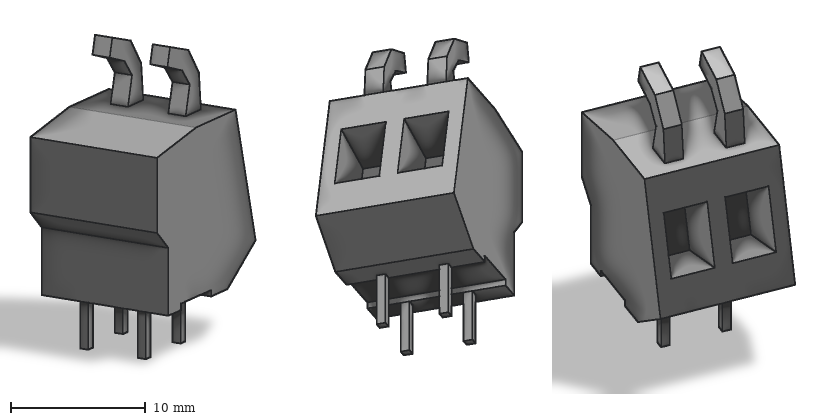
import cadquery as cq
import math


width = 11.0
depth = 14.2
height = 13.57
ridge_y = 5.64
front_top_z = 12.59
overhang_z = 6.79
step_y = 1.62
step_z = 5.24
rear_top_y = 11.32
rear_corner_z = 2.8
rear_foot_y = 10.15

pitch = 5.0
pole_xs = [-pitch / 2, pitch / 2]
pin_size = 0.7
pin_length = 4.02
front_pin_y = 3.12
pin_ys = [front_pin_y, front_pin_y + pitch]
channel_height = 0.5

entry_width = 3.55
entry_low_y = 13.45
entry_high_y = 12.1
entry_depth = 4.7

lever_width = 1.5
lever_outline = [
    (10.05, 0),
    (9.77, 2.89),
    (8.25, 5.02),
    (5.59, 5.9),
    (5.21, 4.44),
    (7.33, 3.66),
    (8.43, 2.3),
    (7.85, 0),
]


def side_extrusion(outline, thickness, x=0):
    """Extrude a (Y, Z) outline along X, centred on the given x."""
    return (
        cq.Workplane("YZ", origin=(x, 0, 0))
        .polyline(outline)
        .close()
        .extrude(thickness / 2, both=True)
    )


def make_block():
    return side_extrusion(
        [
            (step_y, 0),
            (step_y, step_z),
            (0, overhang_z),
            (0, front_top_z),
            (ridge_y, height),
            (rear_top_y, height),
            (depth, rear_corner_z),
            (rear_foot_y, 0),
        ],
        width,
    )


def make_channel():
    """Shallow channel across the underside, between the pin rows."""
    start_y = pin_ys[0] + pin_size / 2
    end_y = pin_ys[1] - pin_size / 2
    return cq.Workplane("XY").box(
        width, end_y - start_y, channel_height, centered=(True, False, False)
    ).translate((0, start_y, 0))


def make_wire_entry(x):
    """Blind rectangular hole, square to the rear face."""
    run = depth - rear_top_y
    rise = height - rear_corner_z
    face_length = math.hypot(run, rise)
    middle_y = (entry_low_y + entry_high_y) / 2
    middle_z = rear_corner_z + (depth - middle_y) * rise / run
    entry_height = (entry_low_y - entry_high_y) * face_length / run
    rear_face = cq.Plane(
        origin=(x, middle_y, middle_z),
        xDir=(1, 0, 0),
        normal=(0, rise / face_length, run / face_length),
    )
    return cq.Workplane(rear_face).rect(entry_width, entry_height).extrude(-entry_depth)


def make_housing():
    body = make_block().cut(make_channel())
    for x in pole_xs:
        body = body.cut(make_wire_entry(x))
    return body


def make_lever(x):
    """Bent lever standing on the housing top."""
    outline = [(y, height + rise) for y, rise in lever_outline]
    return side_extrusion(outline, lever_width, x)


def make_pin(x, y):
    """Square pin hanging from the underside."""
    return cq.Workplane("XY", origin=(x, y, 0)).rect(pin_size, pin_size).extrude(-pin_length)


housing = make_housing()
levers = [make_lever(x).val() for x in pole_xs]
pins = [make_pin(x, y).val() for x in pole_xs for y in pin_ys]

result = cq.Compound.makeCompound([housing.val(), *levers, *pins])